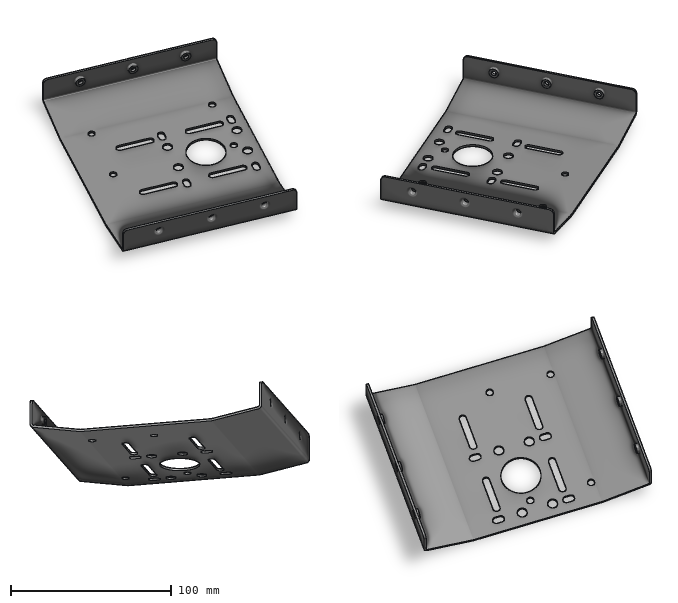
import cadquery as cq
import math

WIDTH = 149.8
DEPTH = 115.0
THICKNESS = 1.5
FLOOR_WIDTH = 85.0
SLOPE_ANGLE = math.radians(10)
WALL_HEIGHT = 18.0
BEND_RADIUS = 2.5
WALL_CORNER_RADIUS = 3.0

HALF_WIDTH = WIDTH / 2
CORNER_Z = (WIDTH - FLOOR_WIDTH) / 2 * math.tan(SLOPE_ANGLE)
TOP_Z = CORNER_Z + WALL_HEIGHT

COLLAR_PITCH = 35.0
COLLAR_MIDDLE_Y = 1.5
COLLAR_BELOW_TOP = 7.15
COLLAR_Z = TOP_Z - COLLAR_BELOW_TOP
COLLAR_DIAMETER = 6.2
COLLAR_LENGTH = 2.0
COLLAR_ROOT_RADIUS = 0.5
COLLAR_BORE = 3.2
COLLAR_MOUTH_RADIUS = 2.0

CENTRE_HOLE_DIAMETER = 25.0
CENTRE_HOLE_Y = 24.0
SMALL_HOLE_DIAMETER = 4.5
SMALL_HOLE_XS = (-40.0, 0.0)
SMALL_HOLE_YS = (-37.5, 42.5)
ROUND_HOLE_DIAMETER = 6.2
ROUND_HOLE_XS = (-12.5, 7.5)
SLOT_WIDTH = 4.5
SHORT_SLOT_LENGTH = 7.5
SHORT_SLOT_X = 23.1
LONG_SLOT_LENGTH = 25.0
LONG_SLOT_X = 21.7
PATTERN_YS = (3.0, 49.0)
LONG_SLOT_DROP = 18.3


def round_bend(sheet, x, z, radius):
    """Round the sharp bend edge that runs along Y through (x, z)."""
    return sheet.edges(cq.selectors.NearestToPointSelector((x, 0, z))).fillet(radius)


def make_sheet():
    """Constant-thickness bent sheet, extruded along Y."""
    slope = math.tan(SLOPE_ANGLE)
    half_floor = FLOOR_WIDTH / 2
    inner_half_floor = half_floor - THICKNESS * math.tan(SLOPE_ANGLE / 2)
    inner_half_width = HALF_WIDTH - THICKNESS
    inner_corner_z = THICKNESS + (inner_half_width - inner_half_floor) * slope
    right_side = [
        (half_floor, 0),
        (HALF_WIDTH, CORNER_Z),
        (HALF_WIDTH, TOP_Z),
        (inner_half_width, TOP_Z),
        (inner_half_width, inner_corner_z),
        (inner_half_floor, THICKNESS),
    ]
    left_side = [(-x, z) for x, z in reversed(right_side)]
    sheet = cq.Workplane("XZ").polyline(right_side + left_side).close().extrude(DEPTH / 2, both=True)
    inner_radius = BEND_RADIUS - THICKNESS
    for side in (-1, 1):
        sheet = round_bend(sheet, side * HALF_WIDTH, CORNER_Z, BEND_RADIUS)
        sheet = round_bend(sheet, side * inner_half_width, inner_corner_z, inner_radius)
        sheet = round_bend(sheet, side * half_floor, 0, BEND_RADIUS)
        sheet = round_bend(sheet, side * inner_half_floor, THICKNESS, inner_radius)
    top_corners = cq.selectors.BoxSelector(
        (-WIDTH, -DEPTH, TOP_Z - THICKNESS), (WIDTH, DEPTH, TOP_Z + THICKNESS)
    )
    return sheet.edges("|X").edges(top_corners).fillet(WALL_CORNER_RADIUS)


def revolve_about_x(profile, side, y):
    """Turn a (distance inward from the outer wall face, radius) profile about a collar axis."""
    body = profile.close().revolve(360, (0, 0, 0), (1, 0, 0))
    if side > 0:
        body = body.mirror("YZ")
    return body.translate((side * HALF_WIDTH, y, COLLAR_Z))


def make_collar(side, y):
    """Solid collar standing on the inner wall face, with a concave root fillet."""
    start = THICKNESS / 2
    tip = THICKNESS + COLLAR_LENGTH
    radius = COLLAR_DIAMETER / 2
    root = radius + COLLAR_ROOT_RADIUS
    sag = COLLAR_ROOT_RADIUS * (1 - math.sqrt(0.5))
    profile = (
        cq.Workplane("XY")
        .moveTo(start, 0)
        .lineTo(start, root)
        .lineTo(THICKNESS, root)
        .threePointArc((THICKNESS + sag, radius + sag), (THICKNESS + COLLAR_ROOT_RADIUS, radius))
        .lineTo(tip, radius)
        .lineTo(tip, 0)
    )
    return revolve_about_x(profile, side, y)


def make_collar_bore(side, y):
    """Through bore that flares out tangentially to the outer wall face."""
    tip = THICKNESS + COLLAR_LENGTH
    radius = COLLAR_BORE / 2
    mouth = radius + COLLAR_MOUTH_RADIUS
    sag = COLLAR_MOUTH_RADIUS * (1 - math.sqrt(0.5))
    profile = (
        cq.Workplane("XY")
        .lineTo(0, mouth)
        .threePointArc((sag, radius + sag), (COLLAR_MOUTH_RADIUS, radius))
        .lineTo(tip, radius)
        .lineTo(tip, 0)
    )
    return revolve_about_x(profile, side, y)


def add_collars(body):
    for side in (-1, 1):
        for step in (-1, 0, 1):
            y = COLLAR_MIDDLE_Y + step * COLLAR_PITCH
            body = body.union(make_collar(side, y)).cut(make_collar_bore(side, y))
    return body


def floor_points(points):
    """Sketch points on the underside of the floor."""
    return cq.Workplane("XY").pushPoints(points)


def cut_floor(body):
    """Cut the holes and slots straight down through the floor."""
    short_slots = [(side * SHORT_SLOT_X, y) for side in (-1, 1) for y in PATTERN_YS]
    long_slots = [(side * LONG_SLOT_X, y - LONG_SLOT_DROP) for side in (-1, 1) for y in PATTERN_YS]
    round_holes = [(x, y) for x in ROUND_HOLE_XS for y in PATTERN_YS]
    small_holes = [(x, y) for x in SMALL_HOLE_XS for y in SMALL_HOLE_YS]
    cutters = (
        floor_points([(0, CENTRE_HOLE_Y)]).circle(CENTRE_HOLE_DIAMETER / 2),
        floor_points(small_holes).circle(SMALL_HOLE_DIAMETER / 2),
        floor_points(round_holes).circle(ROUND_HOLE_DIAMETER / 2),
        floor_points(short_slots).slot2D(SHORT_SLOT_LENGTH, SLOT_WIDTH),
        floor_points(long_slots).slot2D(LONG_SLOT_LENGTH, SLOT_WIDTH, 90),
    )
    for cutter in cutters:
        body = body.cut(cutter.extrude(THICKNESS))
    return body


result = cut_floor(add_collars(make_sheet()))